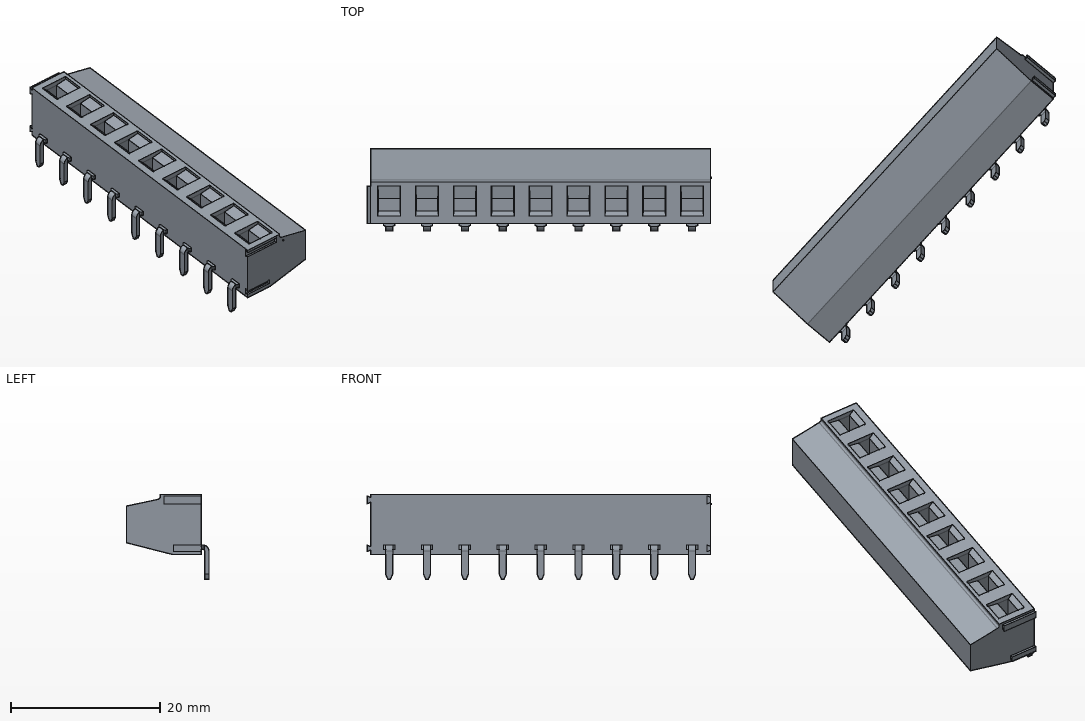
import cadquery as cq


POLES = 9
PITCH = 5.1
HOUSING_LENGTH = 45.65
HOUSING_DEPTH = 10.08
HOUSING_HEIGHT = 8.1
BACK_TAPER = 1.55
BACK_TOP_Z = HOUSING_HEIGHT - BACK_TAPER
BELLY_START_Y = 3.95
STEP_Y = 5.55
STEP_HEIGHT = 0.6
STEP_FOOT_Z = HOUSING_HEIGHT - STEP_HEIGHT
STEP_FILLET = 0.35
LEFT_END = -HOUSING_LENGTH / 2
RIGHT_END = HOUSING_LENGTH / 2

RAIL_PROJECTION = 0.45
RAIL_FLARE = 0.2
UPPER_RAIL_LENGTH = 5.05
UPPER_RAIL_HEIGHT = 1.05
UPPER_RAIL_DROP = 0.75
UPPER_RAIL_Z = HOUSING_HEIGHT - UPPER_RAIL_DROP
LOWER_RAIL_LENGTH = 3.8
LOWER_RAIL_HEIGHT = 0.9
LOWER_RAIL_Z = 0.85

NUB_DIAMETER = 0.2
NUB_PROJECTION = 0.1
NUB_Y = 6.15
NUB_Z = 6.8

WINDOW_WIDTH = 3.1
WINDOW_FRONT_Y = 1.0
WINDOW_BACK_Y = 5.05
MOUTH_DEPTH = 0.6
MOUTH_SIDE_INSET = 0.115
MOUTH_FRONT_INSET = 0.7
WELL_WIDTH = WINDOW_WIDTH - 2 * MOUTH_SIDE_INSET
WELL_FRONT_Y = WINDOW_FRONT_Y + MOUTH_FRONT_INSET
WELL_FLOOR_Z = HOUSING_HEIGHT / 2
CLAMP_FRONT_Y = 3.37
CLAMP_BACK_DROP = 0.35

PIN_WIDTH = 0.95
PIN_THICKNESS = 0.6
PIN_GAP = 0.4
PIN_OUTER_Y = -(PIN_GAP + PIN_THICKNESS)
PIN_LENGTH_BELOW = 3.35
PIN_TIP_HEIGHT = 0.7
PIN_TIP_WIDTH = 0.35
PIN_TOP_Z = 1.3
BEND_INNER_RADIUS = 0.25
BEND_OUTER_RADIUS = BEND_INNER_RADIUS + PIN_THICKNESS
BEND_END_Z = PIN_TOP_Z - BEND_OUTER_RADIUS
COLLAR_WIDTH = 1.53
COLLAR_STRAIGHT = 0.25


def housing():
    profile = [
        (0, 0),
        (BELLY_START_Y, 0),
        (HOUSING_DEPTH, BACK_TAPER),
        (HOUSING_DEPTH, BACK_TOP_Z),
        (STEP_Y, STEP_FOOT_Z),
        (STEP_Y, HOUSING_HEIGHT),
        (0, HOUSING_HEIGHT),
    ]
    body = (
        cq.Workplane("YZ", origin=(LEFT_END, 0, 0))
        .polyline(profile)
        .close()
        .extrude(HOUSING_LENGTH)
    )
    step_foot = cq.selectors.NearestToPointSelector((0, STEP_Y, STEP_FOOT_Z))
    return body.edges(step_foot).fillet(STEP_FILLET)


def dovetail(end_x, center_z, height, length):
    """Prism widening from its root plane at end_x toward -X, open at the front face."""
    half_tip = height / 2
    half_root = half_tip - RAIL_FLARE
    tip_x = end_x - RAIL_PROJECTION
    return (
        cq.Workplane("XZ")
        .polyline([
            (end_x, center_z - half_root),
            (tip_x, center_z - half_tip),
            (tip_x, center_z + half_tip),
            (end_x, center_z + half_root),
        ])
        .close()
        .extrude(-length)
    )


def dovetail_pair(end_x):
    upper = dovetail(end_x, UPPER_RAIL_Z, UPPER_RAIL_HEIGHT, UPPER_RAIL_LENGTH)
    lower = dovetail(end_x, LOWER_RAIL_Z, LOWER_RAIL_HEIGHT, LOWER_RAIL_LENGTH)
    return upper.union(lower)


def nub():
    return (
        cq.Workplane("YZ", origin=(RIGHT_END, NUB_Y, NUB_Z))
        .circle(NUB_DIAMETER / 2)
        .extrude(NUB_PROJECTION)
    )


def window(center_x):
    """Cavity of one pole: tapered mouth over a straight well, less the clamp block at its back."""
    mouth_center_y = (WINDOW_FRONT_Y + WINDOW_BACK_Y) / 2
    well_length = WINDOW_BACK_Y - WELL_FRONT_Y
    well_center_y = (WELL_FRONT_Y + WINDOW_BACK_Y) / 2
    mouth_floor_z = HOUSING_HEIGHT - MOUTH_DEPTH
    mouth = (
        cq.Workplane("XY", origin=(center_x, mouth_center_y, HOUSING_HEIGHT))
        .rect(WINDOW_WIDTH, WINDOW_BACK_Y - WINDOW_FRONT_Y)
        .workplane(offset=-MOUTH_DEPTH)
        .center(0, well_center_y - mouth_center_y)
        .rect(WELL_WIDTH, well_length)
        .loft(ruled=True)
    )
    well = (
        cq.Workplane("XY", origin=(center_x, well_center_y, WELL_FLOOR_Z))
        .rect(WELL_WIDTH, well_length)
        .extrude(mouth_floor_z - WELL_FLOOR_Z)
    )
    clamp = (
        cq.Workplane("YZ", origin=(center_x, 0, 0))
        .polyline([
            (CLAMP_FRONT_Y, WELL_FLOOR_Z),
            (WINDOW_BACK_Y, WELL_FLOOR_Z),
            (WINDOW_BACK_Y, HOUSING_HEIGHT - CLAMP_BACK_DROP),
            (CLAMP_FRONT_Y, mouth_floor_z),
        ])
        .close()
        .extrude(WINDOW_WIDTH / 2, both=True)
    )
    return mouth.union(well).cut(clamp)


def pin(center_x):
    """Flared collar on the front face, a rounded bend and a straight leg with a tapered tip."""
    collar_bottom_z = PIN_TOP_Z - PIN_THICKNESS
    bend_start_y = BEND_INNER_RADIUS - PIN_GAP
    half_width = PIN_WIDTH / 2
    half_collar = COLLAR_WIDTH / 2
    half_tip = PIN_TIP_WIDTH / 2
    tip_start_z = PIN_TIP_HEIGHT - PIN_LENGTH_BELOW
    collar = (
        cq.Workplane("XY", origin=(center_x, 0, collar_bottom_z))
        .polyline([
            (-half_collar, 0),
            (half_collar, 0),
            (half_collar, -COLLAR_STRAIGHT),
            (half_width, -PIN_GAP),
            (-half_width, -PIN_GAP),
            (-half_collar, -COLLAR_STRAIGHT),
        ])
        .close()
        .extrude(PIN_THICKNESS)
    )
    bend = (
        cq.Workplane("YZ", origin=(center_x, 0, 0))
        .moveTo(bend_start_y, collar_bottom_z)
        .lineTo(bend_start_y, PIN_TOP_Z)
        .radiusArc((PIN_OUTER_Y, BEND_END_Z), -BEND_OUTER_RADIUS)
        .lineTo(-PIN_GAP, BEND_END_Z)
        .radiusArc((bend_start_y, collar_bottom_z), BEND_INNER_RADIUS)
        .close()
        .extrude(half_width, both=True)
    )
    leg = (
        cq.Workplane("XZ", origin=(center_x, -PIN_GAP, 0))
        .polyline([
            (-half_width, BEND_END_Z),
            (half_width, BEND_END_Z),
            (half_width, tip_start_z),
            (half_tip, -PIN_LENGTH_BELOW),
            (-half_tip, -PIN_LENGTH_BELOW),
            (-half_width, tip_start_z),
        ])
        .close()
        .extrude(PIN_THICKNESS)
    )
    return collar.union(bend).union(leg)


result = housing()
result = result.union(dovetail_pair(LEFT_END))
result = result.cut(dovetail_pair(RIGHT_END))
result = result.union(nub())

for pole in range(POLES):
    pole_x = (pole - (POLES - 1) / 2) * PITCH
    result = result.cut(window(pole_x))
    result = result.union(pin(pole_x))